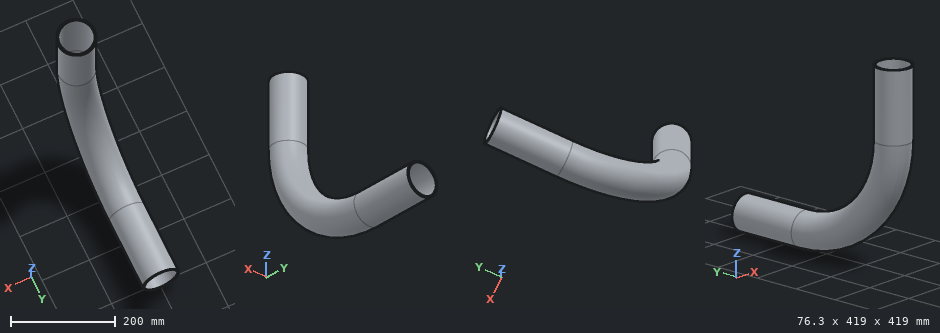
import cadquery as cq
import math

overall_size = 419.0
outer_diameter = 76.3
inner_diameter = 70.0
bend_radius = 3 * outer_diameter
leg_length = overall_size - bend_radius - outer_diameter / 2

arc_middle = bend_radius * math.sqrt(0.5)
centreline = (
    cq.Workplane("YZ")
    .moveTo(-bend_radius, leg_length)
    .lineTo(-bend_radius, 0)
    .threePointArc((-arc_middle, -arc_middle), (0, -bend_radius))
    .lineTo(leg_length, -bend_radius)
)

result = (
    cq.Workplane("XY", origin=(0, -bend_radius, leg_length))
    .circle(outer_diameter / 2)
    .circle(inner_diameter / 2)
    .sweep(centreline)
)